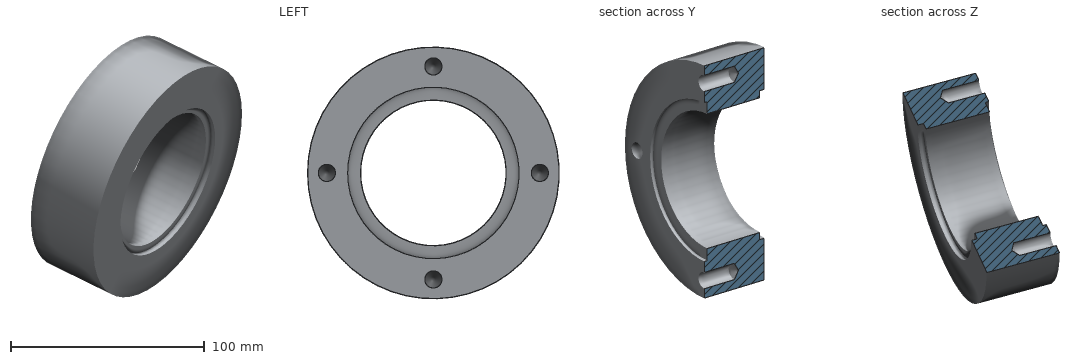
import cadquery as cq
import math

outer_diameter = 130.0
width = 40.0
bore_diameter = 75.0
front_x = -width / 2
back_x = width / 2

front_recess_diameter = 88.5
front_recess_depth = 2.0
back_recess_diameter = 83.0
back_recess_depth = 3.0

hole_count = 4
hole_diameter = 8.8
hole_pitch_diameter = 110.0
hole_depth = width / 2
drill_point_angle = 118.0


def make_disc(start_x, diameter, length):
    """Cylinder on the ring axis; a negative length runs toward -X."""
    return cq.Workplane("YZ", origin=(start_x, 0, 0)).circle(diameter / 2).extrude(length)


def make_drilled_hole(angle):
    """Half profile of a drill, revolved about its own axis, then turned to its place on the ring."""
    radius = hole_diameter / 2
    point_length = radius / math.tan(math.radians(drill_point_angle / 2))
    drill = (
        cq.Workplane("XY")
        .polyline([(0, 0), (0, radius), (hole_depth, radius), (hole_depth + point_length, 0)])
        .close()
        .revolve(360, (0, 0, 0), (1, 0, 0))
    )
    placed = drill.translate((front_x, hole_pitch_diameter / 2, 0))
    return placed.rotate((0, 0, 0), (1, 0, 0), angle)


ring = make_disc(front_x, outer_diameter, width)
ring = ring.cut(make_disc(front_x, bore_diameter, width))
ring = ring.cut(make_disc(front_x, front_recess_diameter, front_recess_depth))
ring = ring.cut(make_disc(back_x, back_recess_diameter, -back_recess_depth))

for index in range(hole_count):
    ring = ring.cut(make_drilled_hole(index * 360 / hole_count))

result = ring